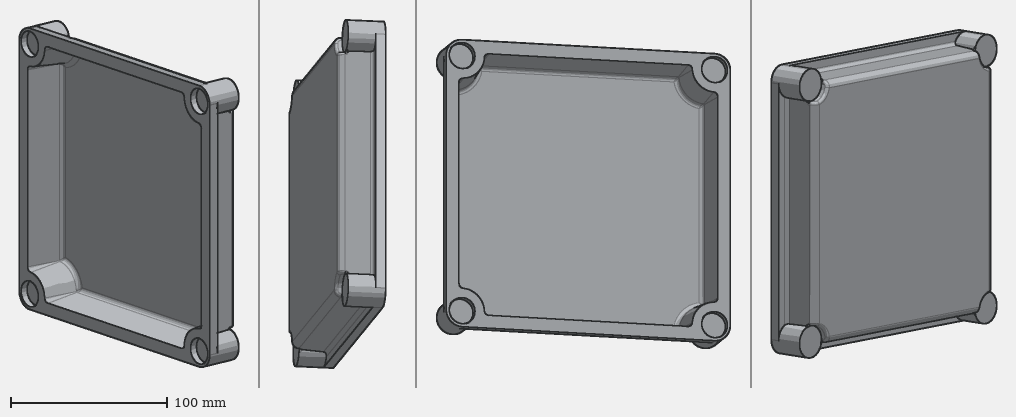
import cadquery as cq
import math

side = 188.0
depth = 29.5

rim_depth = 6.5
post_radius = 10.5
post_depth = 24.5
hole_radius = 8.5
hole_depth = 5.0

wall_margin = 7.5
wall_draft = 3.5
foot_round = 2.5
back_round = 4.5
relief_round = 2.0

opening_margin = 8.4
post_wall_radius = 14.7
cavity_draft = 6.0
corner_round = 3.0
floor_thickness = 2.5
floor_round = 3.0

half = side / 2
post_offset = half - post_radius
corner_signs = [(1, 1), (-1, 1), (-1, -1), (1, -1)]
post_centers = [(sx * post_offset, sz * post_offset) for sx, sz in corner_signs]


def plane_at(y):
    """Workplane parallel to the open face, extruding toward the closed face."""
    return cq.Workplane(cq.Plane(origin=(0, y, 0), xDir=(1, 0, 0), normal=(0, 1, 0)))


def post_cylinders(radius, start, length):
    return plane_at(start).pushPoints(post_centers).circle(radius).extrude(length)


def corner_notched_outline(y, half_width, radius, along):
    """Square with a round bite around each post; the bites meet the sides at +-along."""
    middle = post_offset - radius * math.sqrt(0.5)
    outline = plane_at(y).moveTo(half_width, along)
    for index, (sx, sz) in enumerate(corner_signs):
        first = (sx * half_width, sz * along)
        last = (sx * along, sz * half_width)
        if index % 2 == 1:
            first, last = last, first
        if index > 0:
            outline = outline.lineTo(*first)
        outline = outline.threePointArc((sx * middle, sz * middle), last)
    return outline.close()


def edges_between(body, low, high, reach):
    """Edges centred between two depths and within reach of the Y axis along X and Z."""
    return body.edges(cq.selectors.BoxSelector((-reach, low, -reach), (reach, high, reach)))


def make_rim_and_posts():
    """Rounded slab, cut back between the posts down to the rim."""
    slab = plane_at(0).rect(side, side).extrude(post_depth).edges("|Y").fillet(post_radius)
    gap = corner_notched_outline(rim_depth, half, post_radius, post_offset)
    return slab.cut(gap.extrude(post_depth - rim_depth))


def make_wall():
    """Drafted block with a rounded back, cut away behind the posts."""
    width = side - 2 * wall_margin
    block = plane_at(rim_depth).rect(width, width).extrude(depth - rim_depth, taper=wall_draft)
    block = block.faces(">Y").edges().fillet(back_round)
    return block.cut(post_cylinders(post_radius, post_depth, depth - post_depth))


def round_reliefs(body):
    """Round the edge between the wall's back and the clearance behind each post."""
    flat_arcs = body.faces(">Y").edges("%CIRCLE").vals()
    curved_ends = edges_between(body, post_depth, depth, half).edges("%BSPLINE").vals()
    return body.newObject(flat_arcs + curved_ends).fillet(relief_round)


def round_foot(body):
    """Concave round along the four straight edges between the wall and the ledge."""
    ledge_middle = half - wall_margin / 2
    foot_edges = edges_between(body, rim_depth - foot_round, rim_depth + foot_round, ledge_middle)
    return foot_edges.edges("%LINE").fillet(foot_round)


def make_cavity():
    """Drafted cavity that bends around the posts, with a rounded floor."""
    half_width = half - opening_margin
    lateral = half_width - post_offset
    along = post_offset - math.sqrt(post_wall_radius**2 - lateral**2)
    cavity_depth = depth - floor_thickness

    sharp_prism = corner_notched_outline(0, half_width, post_wall_radius, along).extrude(cavity_depth)
    mouth = sharp_prism.edges("|Y").fillet(corner_round).faces("<Y").wires().vals()
    cavity = plane_at(0).add(mouth).toPending().extrude(cavity_depth, taper=cavity_draft)
    return cavity.faces(">Y").edges().fillet(floor_round)


body = make_rim_and_posts().union(make_wall())
body = round_reliefs(body)
body = round_foot(body)
body = body.cut(make_cavity())
result = body.cut(post_cylinders(hole_radius, 0, hole_depth))